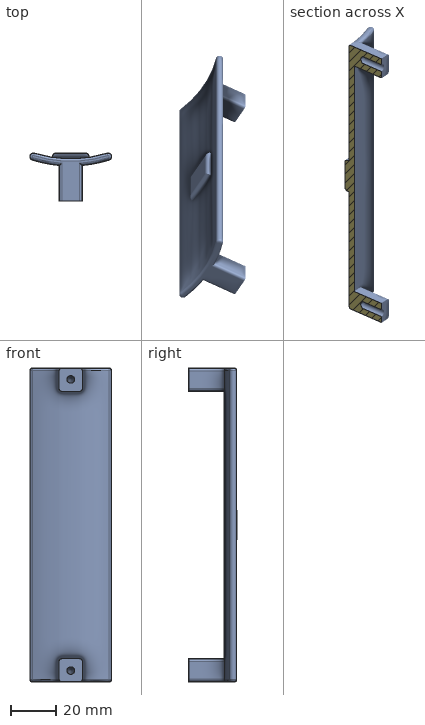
import cadquery as cq
import math

length = 138.0
width = 36.0
depth = 21.1

plate_thickness = 3.2
bow_radius = 55.9
end_edge_round = 1.1

post_size = 10.2
post_corner_radius = 1.2
hole_spacing = 128.0
hole_radius = 1.7
hole_depth = 11.0
drill_point_angle = 118.0

pad_size = 16.3
pad_edge_radius = 1.8

side_round = plate_thickness / 2
middle_radius = bow_radius - side_round
half_angle = math.asin((width / 2 - side_round) / middle_radius)
bow_axis_y = depth - side_round + middle_radius * math.cos(half_angle)
plate_middle_y = bow_axis_y - middle_radius


def arc_point(radius, angle):
    """Point at an angle from the middle of the plate, on an arc about the bow axis."""
    return radius * math.sin(angle), bow_axis_y - radius * math.cos(angle)


def bowed_plate():
    inner_radius = bow_radius - plate_thickness
    center_x, center_y = arc_point(middle_radius, half_angle)
    tip_x = center_x + side_round * math.cos(half_angle)
    tip_y = center_y + side_round * math.sin(half_angle)
    return (
        cq.Workplane("XY")
        .moveTo(*arc_point(bow_radius, -half_angle))
        .threePointArc(arc_point(bow_radius, 0), arc_point(bow_radius, half_angle))
        .threePointArc((tip_x, tip_y), arc_point(inner_radius, half_angle))
        .threePointArc(arc_point(inner_radius, 0), arc_point(inner_radius, -half_angle))
        .threePointArc((-tip_x, tip_y), arc_point(bow_radius, -half_angle))
        .close()
        .extrude(length / 2, both=True)
        .faces("|Z")
        .edges()
        .fillet(end_edge_round)
    )


def post(z):
    """Square bar from the mounting face to the middle of the plate."""
    return (
        cq.Workplane("XZ", origin=(0, plate_middle_y, z))
        .rect(post_size, post_size)
        .extrude(plate_middle_y)
        .edges("|Y")
        .fillet(post_corner_radius)
    )


def drilled_hole(z):
    """Blind hole with a conical bottom, revolved about its own axis along Y."""
    point_depth = hole_radius / math.tan(math.radians(drill_point_angle / 2))
    return (
        cq.Workplane("XY", origin=(0, 0, z))
        .polyline([(0, 0), (hole_radius, 0), (hole_radius, hole_depth), (0, hole_depth + point_depth)])
        .close()
        .revolve(360, (0, 0), (0, 1))
    )


def pad():
    """Block from the middle of the plate to the full depth."""
    return (
        cq.Workplane("XZ", origin=(0, depth, 0))
        .rect(pad_size, pad_size)
        .extrude(depth - plate_middle_y)
        .faces(">Y")
        .edges()
        .fillet(pad_edge_radius)
    )


result = bowed_plate().union(pad())

post_offset = (length - post_size) / 2
for side in (1, -1):
    result = result.union(post(side * post_offset))
    result = result.cut(drilled_hole(side * hole_spacing / 2))